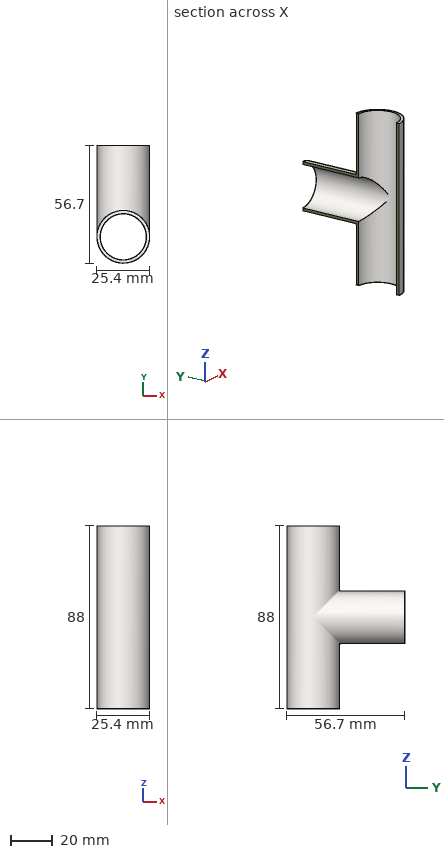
import cadquery as cq
import math

outer_diameter = 25.4
bore_diameter = 22.1
center_to_end = 44.0
run_length = 2 * center_to_end
fillet_radius = 0.5

outer_radius = outer_diameter / 2
ball_path_radius = outer_radius + fillet_radius


def tee_cylinders(diameter):
    """Run and branch cylinders of one diameter, joined."""
    run = (
        cq.Workplane("XY", origin=(0, 0, -center_to_end))
        .circle(diameter / 2)
        .extrude(run_length)
    )
    branch = cq.Workplane("XZ").circle(diameter / 2).extrude(-center_to_end)
    return run.union(branch)


def corner_fillet():
    """Fillet of the upper seam, which lies in the plane z = y.

    The ball touches the run in the plane z / y = ball_path_radius / outer_radius
    and the branch in the mirrored plane. The fillet is a thin wedge between these
    planes, with its tip on the X axis. It is kept inside the path of the ball center,
    and the space swept by the ball is cut away.
    """
    near_side = ball_path_radius
    far_side = near_side * ball_path_radius / outer_radius
    wedge = (
        cq.Workplane("YZ", origin=(-outer_radius, 0, 0))
        .polyline([(0, 0), (near_side, far_side), (far_side, near_side)])
        .close()
        .extrude(outer_diameter)
    )
    seam_plane = cq.Plane(origin=(0, 0, 0), xDir=(1, 0, 0), normal=(0, 1, -1))
    path_height = ball_path_radius * math.sqrt(2)
    inside_path = (
        cq.Workplane(seam_plane)
        .workplane(offset=-fillet_radius)
        .ellipse(ball_path_radius, path_height)
        .extrude(2 * fillet_radius)
    )
    ball_path = cq.Workplane(seam_plane).ellipse(ball_path_radius, path_height)
    start_plane = cq.Plane(origin=(ball_path_radius, 0, 0), xDir=(1, 0, 0), normal=(0, 1, 1))
    ball_sweep = cq.Workplane(start_plane).circle(fillet_radius).sweep(ball_path)
    return wedge.intersect(inside_path).cut(ball_sweep)


upper_fillet = corner_fillet()
lower_fillet = upper_fillet.mirror("XY")
outside = tee_cylinders(outer_diameter).union(upper_fillet).union(lower_fillet)
result = outside.cut(tee_cylinders(bore_diameter))